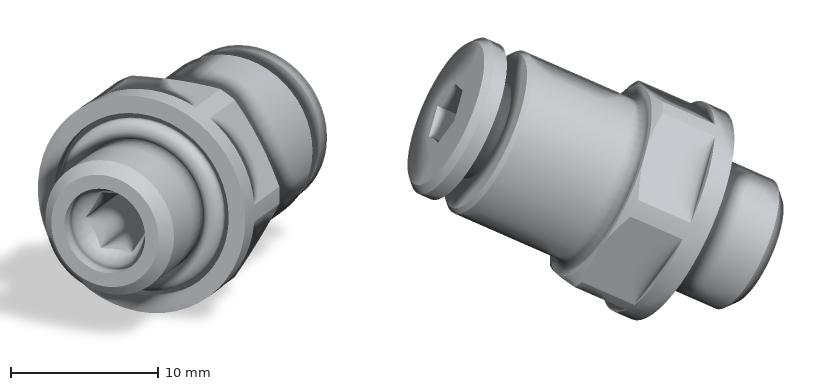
import cadquery as cq
import math

total_length = 24.1
flange_front = 5.98
hex_front = 7.5
hex_back = 12.0
barrel_back = 21.02
neck_cone_start = 22.32
collar_front = 22.6

stem_radius = 4.8
stem_chamfer = 0.8
flange_diameter = 15.5
flange_radius = flange_diameter / 2
barrel_radius = 6.0
barrel_chamfer = 0.3
barrel_fillet = 0.45
neck_radius = 3.55
neck_cone_radius = 3.74
collar_radius = 5.75
collar_chamfer = 0.48

hex_sides = 6
hex_across_flats = 14.0
hex_bevel_depth = 0.43
trim_clearance = 0.25

seal_tube_radius = 0.75
seal_outer_radius = 6.12
seal_center_radius = seal_outer_radius - seal_tube_radius
seal_protrusion = 0.67
seal_center_y = flange_front - seal_protrusion + seal_tube_radius
recess_depth = 2 * seal_tube_radius - seal_protrusion
recess_radius = 6.5

socket_across_flats = 4.0
counterbore_radius = 3.01
counterbore_depth = 1.13


def revolve_profile(profile):
    """Turn a closed (radius, y) profile about the Y axis."""
    return profile.close().revolve(360, (0, 0, 0), (0, 1, 0))


def hex_prism(across_flats, start, end):
    """Hexagonal prism along Y with flats facing +Z and -Z."""
    across_corners = across_flats / math.cos(math.pi / hex_sides)
    return (
        cq.Workplane("XZ", origin=(0, start, 0))
        .polygon(hex_sides, across_corners)
        .extrude(start - end)
    )


def make_turned_blank():
    """Stem, flange, barrel, neck and collar as one turned shape."""
    fillet_depth = barrel_fillet * (1 - math.sqrt(0.5))
    profile = (
        cq.Workplane("XY")
        .lineTo(stem_radius - stem_chamfer, 0)
        .lineTo(stem_radius, stem_chamfer)
        .lineTo(stem_radius, flange_front)
        .lineTo(flange_radius, flange_front)
        .lineTo(flange_radius, hex_back)
        .lineTo(barrel_radius + barrel_fillet, hex_back)
        .threePointArc(
            (barrel_radius + fillet_depth, hex_back + fillet_depth),
            (barrel_radius, hex_back + barrel_fillet),
        )
        .lineTo(barrel_radius, barrel_back - barrel_chamfer)
        .lineTo(barrel_radius - barrel_chamfer, barrel_back)
        .lineTo(neck_radius, barrel_back)
        .lineTo(neck_radius, neck_cone_start)
        .lineTo(neck_cone_radius, collar_front)
        .lineTo(collar_radius, collar_front)
        .lineTo(collar_radius, total_length - collar_chamfer)
        .lineTo(collar_radius - collar_chamfer, total_length)
        .lineTo(0, total_length)
    )
    return revolve_profile(profile)


def make_hex_trim():
    """Material to remove around the beveled wrench hexagon."""
    bevel = (
        cq.Workplane("XY")
        .moveTo(0, hex_front)
        .lineTo(flange_radius, hex_front)
        .lineTo(flange_radius, hex_back - hex_bevel_depth)
        .lineTo(hex_across_flats / 2, hex_back)
        .lineTo(0, hex_back)
    )
    wrench_hex = hex_prism(hex_across_flats, hex_front, hex_back).intersect(revolve_profile(bevel))
    sleeve = (
        cq.Workplane("XZ", origin=(0, hex_front, 0))
        .circle(flange_radius + trim_clearance)
        .extrude(hex_front - hex_back)
    )
    return sleeve.cut(wrench_hex)


def make_seal_recess():
    """Annular recess around the stem, with its floor under the seal."""
    return (
        cq.Workplane("XZ", origin=(0, flange_front, 0))
        .circle(recess_radius)
        .circle(stem_radius)
        .extrude(-recess_depth)
    )


def make_key_socket():
    """Counterbore with a 45 degree cone leading into a through hexagon."""
    cone_end_radius = socket_across_flats / 2
    cone_end = counterbore_depth + counterbore_radius - cone_end_radius
    entry = (
        cq.Workplane("XY")
        .lineTo(counterbore_radius, 0)
        .lineTo(counterbore_radius, counterbore_depth)
        .lineTo(cone_end_radius, cone_end)
        .lineTo(0, cone_end)
    )
    return revolve_profile(entry).union(hex_prism(socket_across_flats, 0, total_length))


def make_fitting(seal_ring):
    """Whole fitting, with a groove in the stem that matches the seal ring."""
    return (
        make_turned_blank()
        .cut(make_hex_trim())
        .cut(make_seal_recess())
        .cut(make_key_socket())
        .cut(seal_ring)
    )


def make_seal_ring():
    """O-ring seated on the recess floor and in the groove of the stem."""
    return (
        cq.Workplane("XY")
        .center(seal_center_radius, seal_center_y)
        .circle(seal_tube_radius)
        .revolve(360, (-seal_center_radius, 0, 0), (-seal_center_radius, 1, 0))
    )


seal_ring = make_seal_ring()
fitting = make_fitting(seal_ring)
result = cq.Compound.makeCompound([fitting.solids().val(), seal_ring.solids().val()])